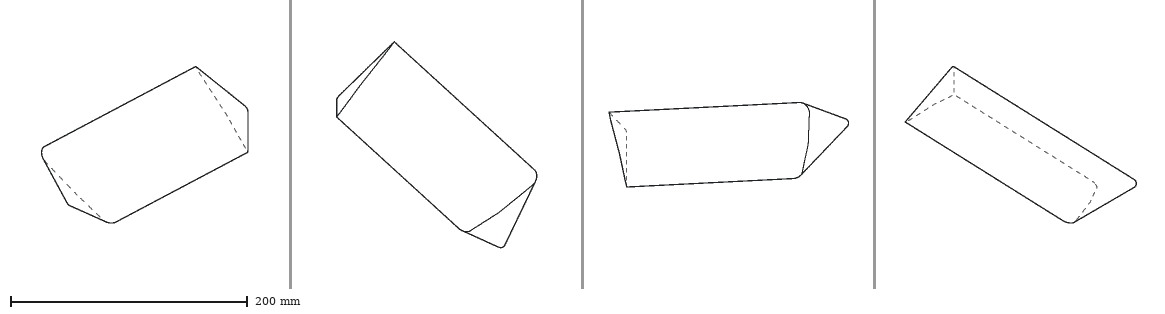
import cadquery as cq

width = 70.0
length = 192.7
height = 49.0

edge_radius = 4.0
sweep_slope = 0.3565
undercut_slope = 1.0

underside_points = [(-64.4, -4.8), (-28.3, -26.8), (-6.5, -44.3)]


def sharp_nose_y():
    """Y of the unrounded nose corner, so that the rounded tip lies at -length / 2."""
    ball_center_y = -length / 2 + edge_radius
    normal_length = (1 + sweep_slope**2 + undercut_slope**2) ** 0.5
    face_offset = edge_radius * normal_length
    return ball_center_y - face_offset - edge_radius * (sweep_slope + undercut_slope)


def make_wedge():
    """Triangular section with its top and +X wall square, running along Y."""
    outline = [(0, 0), (-width, 0), *underside_points, (0, -height)]
    return (
        cq.Workplane("XZ", origin=(0, length / 2, 0))
        .polyline(outline)
        .close()
        .extrude(2 * length)
    )


def make_nose_limit():
    """Everything behind the swept, undercut nose face, as a tilted block."""
    block_size = 4 * length
    corner = (0, sharp_nose_y(), 0)
    nose_normal = cq.Vector(-sweep_slope, -1, -undercut_slope)
    face = cq.Plane(origin=corner, xDir=(1, -sweep_slope, 0), normal=nose_normal)
    return cq.Workplane(face).rect(block_size, block_size).extrude(-block_size)


def round_nose_edges(body):
    """Round the three edges that meet at the nose corner."""
    corner = cq.Vector(0, sharp_nose_y(), 0)
    nose_edges = [
        edge
        for edge in body.edges().vals()
        if any((vertex.Center() - corner).Length < 0.002 for vertex in edge.Vertices())
    ]
    return body.newObject(nose_edges).fillet(edge_radius)


wedge = make_wedge().intersect(make_nose_limit())
result = round_nose_edges(wedge)